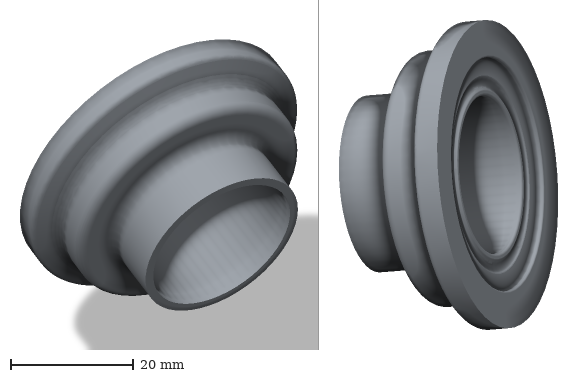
import cadquery as cq
import math

length = 22.0
flange_radius = 50.5 / 2
shoulder_radius = 42.0 / 2
neck_radius = 29.0 / 2
bore_radius = 26.0 / 2

flange_rim_end = 4.1
shoulder_end = 12.0
back_angle = 20

recess_radius = 38.4 / 2
recess_depth = 1.2
groove_outer_radius = 16.15
groove_inner_radius = 13.95
groove_depth = 0.55

rim_round = 0.85
back_fillet = 1.9
shoulder_round = 1.5
neck_fillet = 1.65
recess_rim_round = 0.3
recess_floor_fillet = 0.4
groove_edge_round = 0.25
bore_entry_round = 0.4

back_length = (flange_radius - shoulder_radius) * math.tan(math.radians(back_angle))
back_end = flange_rim_end + back_length


def turned_body():
    """Half section with sharp corners (x, radius), revolved about X."""
    groove_middle = (groove_outer_radius + groove_inner_radius) / 2
    section = (
        cq.Workplane("XY")
        .moveTo(0, recess_radius)
        .lineTo(0, flange_radius)
        .lineTo(flange_rim_end, flange_radius)
        .lineTo(back_end, shoulder_radius)
        .lineTo(shoulder_end, shoulder_radius)
        .lineTo(shoulder_end, neck_radius)
        .lineTo(length, neck_radius)
        .lineTo(length, bore_radius)
        .lineTo(recess_depth, bore_radius)
        .lineTo(recess_depth, groove_inner_radius)
        .threePointArc(
            (recess_depth + groove_depth, groove_middle),
            (recess_depth, groove_outer_radius),
        )
        .lineTo(recess_depth, recess_radius)
        .close()
    )
    return section.revolve(360, (0, 0, 0), (1, 0, 0))


def round_corner(body, x, corner_radius, rounding):
    """Round the circular edge of the given radius lying at position x."""
    tolerance = 0.005

    def is_corner(edge):
        return (
            edge.geomType() == "CIRCLE"
            and abs(edge.Center().x - x) < tolerance
            and abs(edge.radius() - corner_radius) < tolerance
        )

    corner = [edge for edge in body.edges().vals() if is_corner(edge)]
    return body.newObject([body.val().fillet(rounding, corner)])


corners = [
    (flange_rim_end, flange_radius, rim_round),
    (back_end, shoulder_radius, back_fillet),
    (shoulder_end, shoulder_radius, shoulder_round),
    (shoulder_end, neck_radius, neck_fillet),
    (0, recess_radius, recess_rim_round),
    (recess_depth, recess_radius, recess_floor_fillet),
    (recess_depth, groove_outer_radius, groove_edge_round),
    (recess_depth, groove_inner_radius, groove_edge_round),
    (recess_depth, bore_radius, bore_entry_round),
]

result = turned_body()
for corner_x, corner_radius, rounding in corners:
    result = round_corner(result, corner_x, corner_radius, rounding)